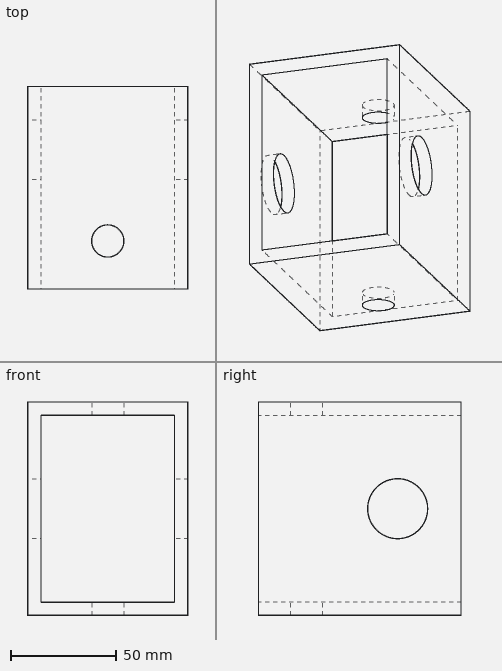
import cadquery as cq

width = 76.2
length = 96.4
height = 101.6

inner_width = 63.5
wall = (width - inner_width) / 2
inner_height = height - 2 * wall

vertical_hole_diameter = 15.2
vertical_hole_from_front = 22.9
vertical_hole_y = -length / 2 + vertical_hole_from_front

cross_hole_diameter = 28.4
cross_hole_from_back = 30.2
cross_hole_y = length / 2 - cross_hole_from_back

tube = cq.Workplane("XY").box(width, length, height)
bore = cq.Workplane("XY").box(inner_width, length, inner_height)

vertical_hole = (
    cq.Workplane("XY")
    .center(0, vertical_hole_y)
    .circle(vertical_hole_diameter / 2)
    .extrude(height / 2, both=True)
)
cross_hole = (
    cq.Workplane("YZ")
    .center(cross_hole_y, 0)
    .circle(cross_hole_diameter / 2)
    .extrude(width / 2, both=True)
)

result = tube.cut(bore).cut(vertical_hole).cut(cross_hole)